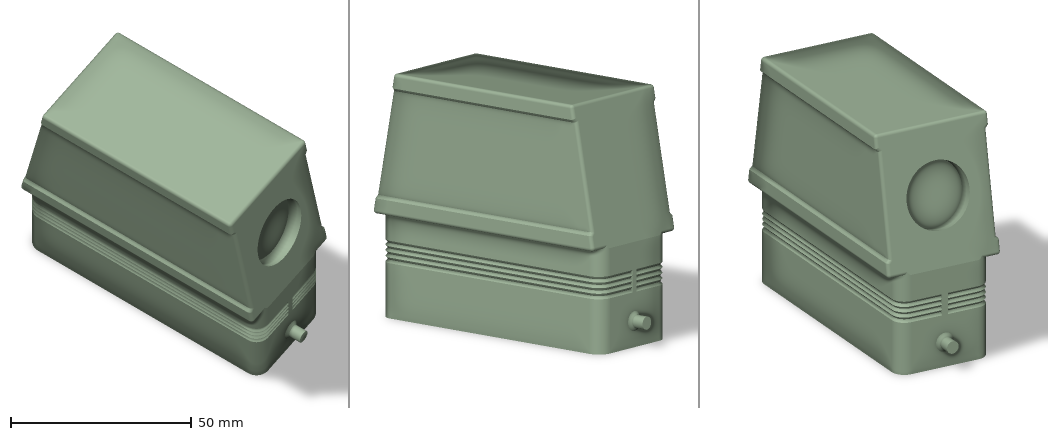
import cadquery as cq
import math

body_length = 79.65
body_width = 29.4
corner_radius = 4.0

total_height = 70.5
hood_bottom = 29.9
hood_width = 36.0
hood_top_length = 64.3
hood_rounding = 1.0

recess_depth = 0.9
recess_bottom = 35.2
recess_top = 65.5

groove_count = 4
groove_pitch = 1.6
groove_depth = 0.7
groove_band_bottom = 15.7
groove_gap = 1.9

overall_length = 88.5
pin_diameter = 3.7
pin_height = 7.4
pin_foot_diameter = 5.7
pin_foot_length = 0.8

entry_diameter = 20.1
entry_depth = 4.4

hood_height = total_height - hood_bottom
end_inset = (body_length - hood_top_length) / 2
end_lean = math.atan2(end_inset, hood_height)


def body_block(bottom, height, taper=0.0):
    """Block with the body's rounded outline, its walls leaning inwards by taper degrees."""
    outline = cq.Sketch().rect(body_length, body_width).vertices().fillet(corner_radius)
    return cq.Workplane("XY").workplane(offset=bottom).placeSketch(outline).extrude(height, taper=taper)


def hood_wedge():
    """Full-width hood with sloping ends and sharp edges."""
    return (
        cq.Workplane("XZ")
        .moveTo(-body_length / 2, hood_bottom)
        .lineTo(body_length / 2, hood_bottom)
        .lineTo(hood_top_length / 2, total_height)
        .lineTo(-hood_top_length / 2, total_height)
        .close()
        .extrude(hood_width / 2, both=True)
    )


def side_recess(side):
    """Cutter for the recess on one long side (side = -1 or 1)."""
    outer = side * hood_width / 2
    inner = side * (hood_width / 2 - recess_depth)
    return (
        cq.Workplane("YZ")
        .moveTo(outer, recess_bottom - recess_depth)
        .lineTo(inner, recess_bottom)
        .lineTo(inner, recess_top)
        .lineTo(outer, recess_top + recess_depth)
        .close()
        .extrude(body_length / 2, both=True)
    )


def hood():
    """Recessed hood, rounded at the top, the bottom and around both ends."""
    wedge = hood_wedge()
    for side in (-1, 1):
        wedge = wedge.cut(side_recess(side))
    rounded = wedge.faces("<X or >X or <Z or >Z").edges().fillet(hood_rounding)
    root = body_block(hood_bottom, 2 * hood_rounding).intersect(hood_wedge())
    return rounded.union(root)


def groove_cutter(bottom):
    """V-shaped ring around the body, open for the gap in the middle of each end."""
    half_pitch = groove_pitch / 2
    wall_lean = math.degrees(math.atan2(groove_depth, half_pitch))
    lower_core = body_block(bottom, half_pitch, wall_lean)
    upper_core = lower_core.mirror("XY", (0, 0, bottom + half_pitch))
    gap = (
        cq.Workplane("XY")
        .box(overall_length, groove_gap, groove_pitch)
        .translate((0, 0, bottom + half_pitch))
    )
    return body_block(bottom, groove_pitch).cut(lower_core).cut(upper_core).cut(gap)


def locking_pin(side):
    """Pin with a conical foot on one end of the body (side = -1 or 1)."""
    body_end = body_length / 2
    tip = overall_length / 2
    foot_end = body_end + pin_foot_length
    pin_radius = pin_diameter / 2
    half_section = (
        cq.Workplane("XY")
        .moveTo(0, 0)
        .lineTo(0, pin_foot_diameter / 2)
        .lineTo(side * body_end, pin_foot_diameter / 2)
        .lineTo(side * foot_end, pin_radius)
        .lineTo(side * tip, pin_radius)
        .lineTo(side * tip, 0)
        .close()
    )
    pin = half_section.revolve(360, (0, 0, 0), (1, 0, 0))
    return pin.translate((0, 0, pin_height))


def cable_entry():
    """Cutter for the blind hole in the middle of the +X end of the hood."""
    centre = ((body_length - end_inset) / 2, 0, hood_bottom + hood_height / 2)
    inward = (-math.cos(end_lean), 0, -math.sin(end_lean))
    plane = cq.Plane(origin=centre, xDir=(0, 1, 0), normal=inward)
    return cq.Workplane(plane).circle(entry_diameter / 2).extrude(entry_depth)


result = body_block(0, hood_bottom)
for groove in range(groove_count):
    result = result.cut(groove_cutter(groove_band_bottom + groove * groove_pitch))
result = result.union(hood())
for side in (-1, 1):
    result = result.union(locking_pin(side))
result = result.cut(cable_entry()).clean()